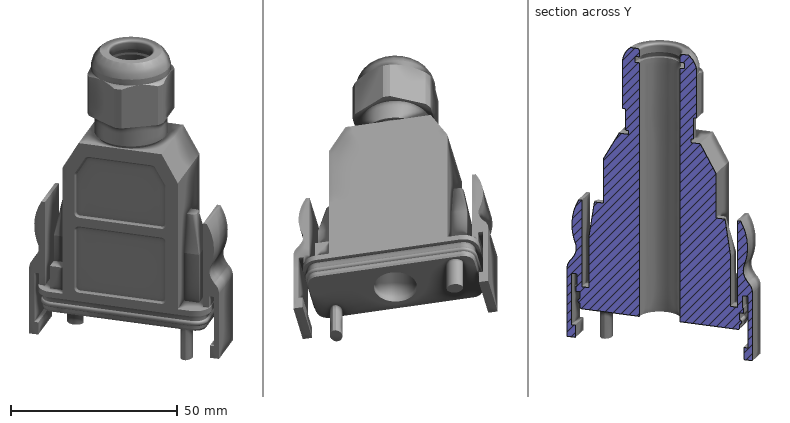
import cadquery as cq
import math

HOOK_BOTTOM = 0.9
HOOK_TOP = 4.9
SKIRT_BOTTOM = 10.3
SEAL_MIDDLE = 12.8
FLANGE_BOTTOM = 15.7
FLANGE_TOP = 17.5
SLOT_TOP = 21.3
STEP_BLOCK_TOP = 25.0
BOSS_SHOULDER = 33.45
BOSS_TOP = 45.3
SHOULDER = 59.5
BODY_TOP = 68.4
NECK_TOP = 69.5
COLLAR_TOP = 76.35
HEX_TOP = 90.2
DOME_BOTTOM = 92.2
TOTAL_HEIGHT = 96.4

BODY_HALF_WIDTH = 18.2
BODY_TOP_HALF_WIDTH = 13.1
BODY_DEPTH = 21.8
FRONT_Y = -BODY_DEPTH / 2

PANEL_HALF_WIDTH = 14.5
PANEL_DEPTH = 0.6
PANEL_CORNER = 1.5
PANEL_TAPER = 45
LOWER_PANEL = (18.6, 40.7)
UPPER_PANEL = (43.6, 64.3)
UPPER_PANEL_SHOULDER = 57.9
UPPER_PANEL_TOP_HALF_WIDTH = 10.7

FLANGE_LENGTH = 54.2
FLANGE_CORNER = 4.9
SKIRT_INSET = 1.3
SKIRT_LENGTH = FLANGE_LENGTH - 2 * SKIRT_INSET
SKIRT_DEPTH = BODY_DEPTH - 2 * SKIRT_INSET
SKIRT_CORNER = FLANGE_CORNER - SKIRT_INSET
SKIRT_EDGE_INSET = 0.3
SKIRT_EDGE_HEIGHT = 0.7
SEAL_BULGE = 0.6
SEAL_RADIUS = 0.9
SEAL_SINK = SEAL_RADIUS - SEAL_BULGE

BOSS_OUTER_X = 22.9
BOSS_HALF_DEPTH = 4.5
BOSS_TIP_X = 21.1
BOSS_TIP_HALF_DEPTH = 1.9
BOSS_TIP_CORNER = 1.2
BOSS_ROOT_CORNER = 0.05
STEP_BLOCK_Y = 8.4

CLIP_HALF_DEPTH = 6.9
CLIP_INNER_X = 25.0
CLIP_STEM_X = 26.8
CLIP_OUTER_X = 30.0
CLIP_LEG_THICKNESS = 1.6
CLIP_LEG_X = CLIP_OUTER_X - CLIP_LEG_THICKNESS
HOOK_X = FLANGE_LENGTH / 2

PIN_X = 19.7
PIN_Y = 6.65
PIN_DIAMETER = 5.6
PIN_WIDTH = 3.8
PIN_LENGTH = 4.9

NECK_DIAMETER = 20.2
COLLAR_DIAMETER = 22.1
HEX_ACROSS_FLATS = 24.0
HEX_CORNER_DIAMETER = 26.5
HEX_CHAMFER_HEIGHT = 1.0
DOME_TOP_DIAMETER = 18.7
DOME_MIDDLE_DIAMETER = 22.6
BORE_DIAMETER = 13.0
MOUTH_DIAMETER = 14.5
GROOVE_DIAMETER = 15.8
GROOVE_TOP = TOTAL_HEIGHT - 2.8
GROOVE_BOTTOM = TOTAL_HEIGHT - 4.5


def plate(length, depth, corner, bottom, top):
    """Round-cornered plate centred on the Z axis."""
    return (
        cq.Workplane("XY", origin=(0, 0, bottom))
        .rect(length, depth)
        .extrude(top - bottom)
        .edges("|Z")
        .fillet(corner)
    )


def cylinder(diameter, bottom, top):
    return cq.Workplane("XY", origin=(0, 0, bottom)).circle(diameter / 2).extrude(top - bottom)


def make_body():
    """Hood with sloped shoulders."""
    outline = [
        (-BODY_HALF_WIDTH, FLANGE_BOTTOM),
        (BODY_HALF_WIDTH, FLANGE_BOTTOM),
        (BODY_HALF_WIDTH, SHOULDER),
        (BODY_TOP_HALF_WIDTH, BODY_TOP),
        (-BODY_TOP_HALF_WIDTH, BODY_TOP),
        (-BODY_HALF_WIDTH, SHOULDER),
    ]
    return cq.Workplane("XZ").polyline(outline).close().extrude(BODY_DEPTH / 2, both=True)


def make_panel(outline):
    """Tool for a shallow panel with sloped, rounded sides in the front face."""
    sketch = cq.Sketch().polygon(outline + outline[:1]).vertices().fillet(PANEL_CORNER)
    return (
        cq.Workplane("XZ", origin=(0, FRONT_Y, 0))
        .placeSketch(sketch)
        .extrude(-PANEL_DEPTH, taper=PANEL_TAPER)
    )


def make_panels():
    low_bottom, low_top = LOWER_PANEL
    up_bottom, up_top = UPPER_PANEL
    lower = make_panel([
        (-PANEL_HALF_WIDTH, low_bottom),
        (PANEL_HALF_WIDTH, low_bottom),
        (PANEL_HALF_WIDTH, low_top),
        (-PANEL_HALF_WIDTH, low_top),
    ])
    upper = make_panel([
        (-PANEL_HALF_WIDTH, up_bottom),
        (PANEL_HALF_WIDTH, up_bottom),
        (PANEL_HALF_WIDTH, UPPER_PANEL_SHOULDER),
        (UPPER_PANEL_TOP_HALF_WIDTH, up_top),
        (-UPPER_PANEL_TOP_HALF_WIDTH, up_top),
        (-PANEL_HALF_WIDTH, UPPER_PANEL_SHOULDER),
    ])
    return lower.union(upper)


def make_base():
    """Flange, skirt with a bevelled lower edge, and the rounded seal around the skirt."""
    flange = plate(FLANGE_LENGTH, BODY_DEPTH, FLANGE_CORNER, FLANGE_BOTTOM, FLANGE_TOP)
    skirt = plate(SKIRT_LENGTH, SKIRT_DEPTH, SKIRT_CORNER, SKIRT_BOTTOM, FLANGE_BOTTOM)
    skirt = skirt.faces("<Z").chamfer(SKIRT_EDGE_HEIGHT, SKIRT_EDGE_INSET)
    path_length = SKIRT_LENGTH - 2 * SEAL_SINK
    path_depth = SKIRT_DEPTH - 2 * SEAL_SINK
    path = (
        plate(path_length, path_depth, SKIRT_CORNER - SEAL_SINK, SKIRT_BOTTOM, SEAL_MIDDLE)
        .faces(">Z")
        .wires()
    )
    seal = (
        cq.Workplane("YZ", origin=(0, path_depth / 2, SEAL_MIDDLE))
        .circle(SEAL_RADIUS)
        .sweep(path, transition="round")
    )
    return flange.union(skirt).union(seal)


def make_boss():
    """Boss on the -X side: a block with a tapered, round-ended tip and a low step block beside it."""
    block = (
        cq.Workplane("XY", origin=(0, 0, FLANGE_TOP))
        .rect(2 * BOSS_OUTER_X, 2 * BOSS_HALF_DEPTH)
        .extrude(BOSS_SHOULDER - FLANGE_TOP)
    )
    tip = (
        cq.Workplane("XY", origin=(0, 0, BOSS_SHOULDER))
        .placeSketch(
            cq.Sketch()
            .rect(2 * BOSS_OUTER_X, 2 * BOSS_HALF_DEPTH)
            .vertices()
            .fillet(BOSS_ROOT_CORNER),
            cq.Sketch()
            .rect(2 * BOSS_TIP_X, 2 * BOSS_TIP_HALF_DEPTH)
            .vertices()
            .fillet(BOSS_TIP_CORNER)
            .moved(cq.Location(cq.Vector(0, 0, BOSS_TOP - BOSS_SHOULDER))),
        )
        .loft(ruled=True)
    )
    step = (
        cq.Workplane("XY", origin=(-BOSS_OUTER_X, -STEP_BLOCK_Y, FLANGE_TOP))
        .rect(BOSS_OUTER_X, STEP_BLOCK_Y, centered=False)
        .extrude(STEP_BLOCK_TOP - FLANGE_TOP)
    )
    return block.union(tip).union(step)


def make_clip():
    """Spring clip on the -X side: wavy grip, slotted stem and a hooked outer leg."""
    grip_tip = (-26.1, BOSS_TOP)
    grip_bulge = (-28.3, 38.1)
    bulge_end = (-27.5, 31.7)
    grip_hollow = (-27.0, 29.3)
    hollow_end = (-28.0, 26.7)
    shoulder_start = (-28.5, 25.8)
    shoulder_middle = (-29.6, 24.4)
    shoulder_end = (-CLIP_OUTER_X, 22.7)
    return (
        cq.Workplane("XZ")
        .moveTo(-CLIP_INNER_X, BOSS_TOP)
        .lineTo(*grip_tip)
        .threePointArc(grip_bulge, bulge_end)
        .threePointArc(grip_hollow, hollow_end)
        .lineTo(*shoulder_start)
        .threePointArc(shoulder_middle, shoulder_end)
        .lineTo(-CLIP_OUTER_X, HOOK_BOTTOM)
        .lineTo(-HOOK_X, HOOK_BOTTOM)
        .lineTo(-HOOK_X, HOOK_TOP)
        .lineTo(-CLIP_LEG_X, HOOK_TOP)
        .lineTo(-CLIP_LEG_X, SLOT_TOP)
        .lineTo(-CLIP_STEM_X, SLOT_TOP)
        .lineTo(-CLIP_STEM_X, FLANGE_BOTTOM)
        .lineTo(-CLIP_INNER_X, FLANGE_BOTTOM)
        .close()
        .extrude(CLIP_HALF_DEPTH, both=True)
    )


def make_pin():
    """Coding pin, long in X: two shallow round sides and two flat ends."""
    side_shift = (PIN_DIAMETER - PIN_WIDTH) / 2
    upper = cq.Workplane("XY").center(0, side_shift).circle(PIN_DIAMETER / 2).extrude(SKIRT_BOTTOM)
    lower = cq.Workplane("XY").center(0, -side_shift).circle(PIN_DIAMETER / 2).extrude(SKIRT_BOTTOM)
    ends = cq.Workplane("XY").rect(PIN_LENGTH, PIN_DIAMETER).extrude(SKIRT_BOTTOM)
    return upper.intersect(lower).intersect(ends)


def make_hex_nut():
    """Hexagon with two corners on the Y axis, turned down and bevelled at the corners."""
    half_sector = 30
    across_corners = HEX_ACROSS_FLATS / math.cos(math.radians(half_sector))
    height = HEX_TOP - COLLAR_TOP
    hexagon = (
        cq.Workplane("XY", origin=(0, 0, COLLAR_TOP))
        .polygon(6, across_corners)
        .extrude(height)
        .rotate((0, 0, 0), (0, 0, 1), half_sector)
    )
    bevel_inset = (HEX_CORNER_DIAMETER - HEX_ACROSS_FLATS) / 2
    turned = cylinder(HEX_CORNER_DIAMETER, COLLAR_TOP, HEX_TOP)
    turned = turned.faces(">Z").chamfer(HEX_CHAMFER_HEIGHT, bevel_inset)
    return hexagon.intersect(turned)


def make_gland():
    neck = cylinder(NECK_DIAMETER, BODY_TOP, NECK_TOP)
    collar = cylinder(COLLAR_DIAMETER, NECK_TOP, COLLAR_TOP)
    dome_middle = (DOME_MIDDLE_DIAMETER / 2, (DOME_BOTTOM + TOTAL_HEIGHT) / 2)
    cap = (
        cq.Workplane("XZ")
        .moveTo(0, COLLAR_TOP)
        .lineTo(HEX_ACROSS_FLATS / 2, COLLAR_TOP)
        .lineTo(HEX_ACROSS_FLATS / 2, DOME_BOTTOM)
        .threePointArc(dome_middle, (DOME_TOP_DIAMETER / 2, TOTAL_HEIGHT))
        .lineTo(0, TOTAL_HEIGHT)
        .close()
        .revolve(360, (0, 0), (0, 1))
    )
    return neck.union(collar).union(make_hex_nut()).union(cap)


def make_bore():
    """Through bore with a round-lipped mouth and a seal groove just below it."""
    lip = (MOUTH_DIAMETER - BORE_DIAMETER) / 2
    bore_radius = BORE_DIAMETER / 2
    bore = cylinder(BORE_DIAMETER, 0, TOTAL_HEIGHT)
    groove = cylinder(GROOVE_DIAMETER, GROOVE_BOTTOM, GROOVE_TOP)
    mouth = (
        cq.Workplane("XZ")
        .moveTo(0, GROOVE_TOP)
        .lineTo(bore_radius, GROOVE_TOP)
        .lineTo(bore_radius, TOTAL_HEIGHT - lip)
        .tangentArcPoint((bore_radius + lip, TOTAL_HEIGHT), relative=False)
        .lineTo(0, TOTAL_HEIGHT)
        .close()
        .revolve(360, (0, 0), (0, 1))
    )
    return bore.union(groove).union(mouth)


hood = make_body().cut(make_panels()).union(make_base()).union(make_gland())

for turn in (0, 180):
    for side_part in (make_boss(), make_clip()):
        hood = hood.union(side_part.rotate((0, 0, 0), (0, 0, 1), turn))

hood = hood.union(make_pin().translate((-PIN_X, PIN_Y, 0)))
hood = hood.union(make_pin().rotate((0, 0, 0), (0, 0, 1), 90).translate((PIN_X, -PIN_Y, 0)))

result = hood.cut(make_bore())